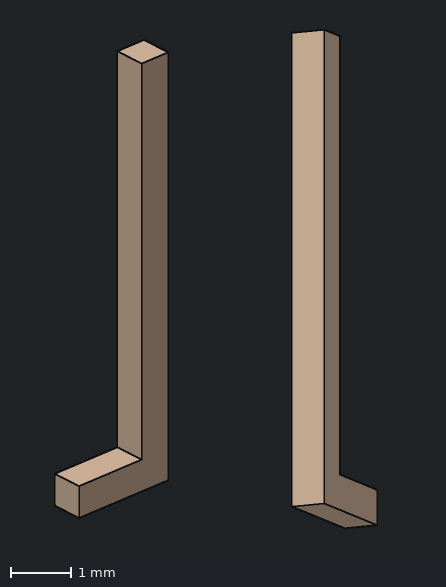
import cadquery as cq

bar_size = 0.6
post_height = 8.0
foot_length = 2.0

post_back = foot_length / 2
post_front = post_back - bar_size
foot_tip = post_back - foot_length

profile = (
    cq.Workplane("YZ")
    .moveTo(foot_tip, 0)
    .lineTo(post_back, 0)
    .lineTo(post_back, post_height)
    .lineTo(post_front, post_height)
    .lineTo(post_front, bar_size)
    .lineTo(foot_tip, bar_size)
    .close()
)

result = profile.extrude(bar_size / 2, both=True)